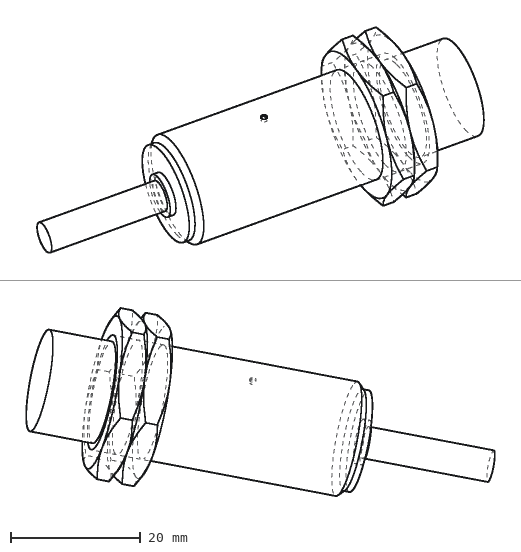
import cadquery as cq
import math


BARREL_DIAMETER = 18.0
NECK_DIAMETER = 16.0
NECK_LENGTH = 10.0
BARREL_LENGTH = 40.0
END_CHAMFER = (BARREL_DIAMETER - NECK_DIAMETER) / 2
END_CAP_LENGTH = 1.0

GLAND_DIAMETER = 7.0
GLAND_LENGTH = 1.0
CABLE_DIAMETER = 5.0
CABLE_LENGTH = 20.0

INDICATOR_DIAMETER = 1.0
INDICATOR_DISTANCE = 34.0

NUT_COUNT = 2
NUT_ACROSS_FLATS = 24.0
NUT_THICKNESS = 4.0
NUT_CHAMFER_ANGLE = 30.0
NUT_ACROSS_CORNERS = NUT_ACROSS_FLATS / math.cos(math.radians(30.0))


def cylinder(diameter, start, length):
    """Cylinder on the sensor axis, running towards -Y from a distance behind the sensing face."""
    return cq.Workplane("XZ", origin=(0, -start, 0)).circle(diameter / 2).extrude(length)


def make_sensor():
    """Sensing neck, barrel, end cap, gland and cable as one stepped solid."""
    barrel_end = NECK_LENGTH + BARREL_LENGTH
    cap_end = barrel_end + END_CAP_LENGTH
    gland_end = cap_end + GLAND_LENGTH

    barrel = cylinder(BARREL_DIAMETER, NECK_LENGTH, BARREL_LENGTH)
    barrel = barrel.faces("<Y").chamfer(END_CHAMFER)

    sensor = (
        cylinder(NECK_DIAMETER, 0, NECK_LENGTH)
        .union(barrel)
        .union(cylinder(NECK_DIAMETER, barrel_end, END_CAP_LENGTH))
        .union(cylinder(GLAND_DIAMETER, cap_end, GLAND_LENGTH))
        .union(cylinder(CABLE_DIAMETER, gland_end, CABLE_LENGTH))
    )

    return add_indicator(sensor)


def add_indicator(sensor):
    """Hemispherical indicator lens sunk in a round well, its crest level with the barrel surface."""
    radius = INDICATOR_DIAMETER / 2
    crest = BARREL_DIAMETER / 2
    well_floor = crest - radius
    well_and_lens_gap = (
        cq.Workplane("XZ", origin=(0, -INDICATOR_DISTANCE, 0))
        .moveTo(0, crest)
        .threePointArc(
            (radius * math.sin(math.pi / 4), well_floor + radius * math.cos(math.pi / 4)),
            (radius, well_floor),
        )
        .lineTo(radius, crest)
        .close()
        .revolve(360, (0, 0, 0), (0, 1, 0))
    )
    return sensor.cut(well_and_lens_gap)


def make_nut(start):
    """Hexagon nut, chamfered on both faces, with corners on the X axis and its bore on the barrel."""
    hexagon = (
        cq.Workplane("XZ", origin=(0, -start, 0))
        .polygon(6, NUT_ACROSS_CORNERS)
        .extrude(NUT_THICKNESS)
    )

    face_radius = NUT_ACROSS_FLATS / 2
    corner_radius = NUT_ACROSS_CORNERS / 2
    corner_drop = (corner_radius - face_radius) * math.tan(math.radians(NUT_CHAMFER_ANGLE))
    front = -start
    rear = front - NUT_THICKNESS
    chamfer_envelope = (
        cq.Workplane("XY")
        .polyline(
            [
                (0, front),
                (face_radius, front),
                (corner_radius, front - corner_drop),
                (corner_radius, rear + corner_drop),
                (face_radius, rear),
                (0, rear),
            ]
        )
        .close()
        .revolve(360, (0, 0, 0), (0, 1, 0))
    )
    bore = cylinder(BARREL_DIAMETER, start, NUT_THICKNESS)
    return hexagon.intersect(chamfer_envelope).cut(bore)


sensor = make_sensor()
nuts = [make_nut(NECK_LENGTH + index * NUT_THICKNESS) for index in range(NUT_COUNT)]

result = cq.Compound.makeCompound([sensor.val(), *[nut.val() for nut in nuts]])